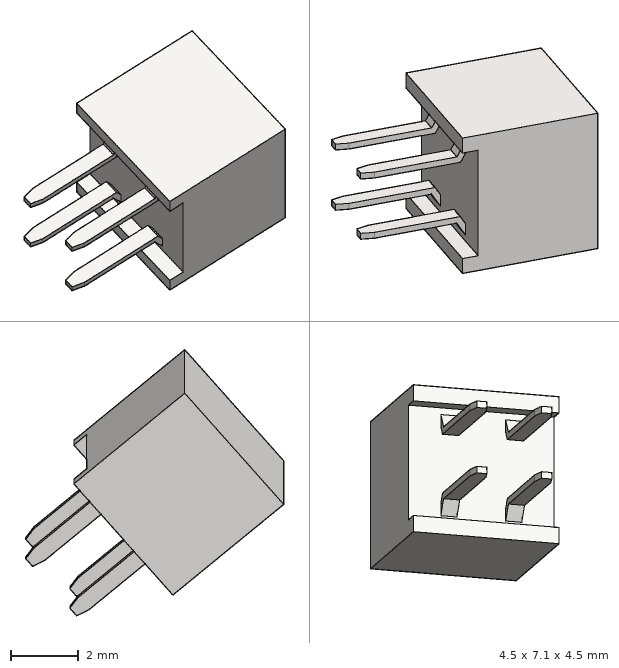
import cadquery as cq

housing_width = 4.5
housing_height = 4.5
housing_depth = 4.3
lip_thickness = 0.5
lip_depth = 0.5

total_length = 7.1
pin_pitch = 2.0
pin_width = 0.5
pin_thickness = 0.2
tip_length = 0.4
tip_width = 0.31
bend_outer_run = 0.28
bend_inner_run = 0.16
bend_rise = 0.45

housing_rear = total_length - housing_depth
recess_face = housing_rear + lip_depth
pin_outer_z = pin_pitch / 2 + pin_thickness / 2
pin_inner_z = pin_pitch / 2 - pin_thickness / 2


def make_housing():
    block = cq.Workplane("XY").box(housing_width, housing_depth, housing_height)
    block = block.translate((0, housing_rear + housing_depth / 2, 0))
    recess = cq.Workplane("XY").box(housing_width, lip_depth, housing_height - 2 * lip_thickness)
    return block.cut(recess.translate((0, housing_rear + lip_depth / 2, 0)))


def make_upper_pin():
    """Bent strip of the upper row, centred on x = 0, with a tapered tip."""
    embed = bend_outer_run
    leg_slope = bend_rise / bend_outer_run
    leg_end = recess_face + embed
    profile = [
        (0, pin_inner_z),
        (recess_face - bend_inner_run, pin_inner_z),
        (leg_end, pin_inner_z + leg_slope * (bend_inner_run + embed)),
        (leg_end, pin_outer_z + leg_slope * (bend_outer_run + embed)),
        (recess_face - bend_outer_run, pin_outer_z),
        (0, pin_outer_z),
    ]
    strip = cq.Workplane("YZ").polyline(profile).close().extrude(pin_width / 2, both=True)

    plan = [
        (-tip_width / 2, 0),
        (tip_width / 2, 0),
        (pin_width / 2, tip_length),
        (pin_width / 2, total_length),
        (-pin_width / 2, total_length),
        (-pin_width / 2, tip_length),
    ]
    envelope = cq.Workplane("XY").polyline(plan).close().extrude(housing_height / 2)
    return strip.intersect(envelope)


result = make_housing()
upper_pin = make_upper_pin()
lower_pin = upper_pin.mirror("XY")
for pin_x in (-pin_pitch / 2, pin_pitch / 2):
    for pin in (upper_pin, lower_pin):
        result = result.union(pin.translate((pin_x, 0, 0)))